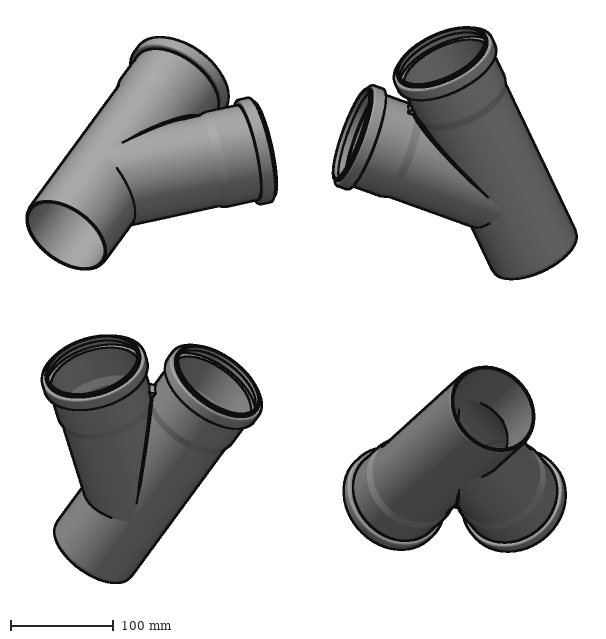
import cadquery as cq

total_length = 238.0
socket_reach = 161.8
spigot_reach = total_length - socket_reach
branch_angle = 45.0

pipe_radius = 90.2 / 2
pipe_bore_radius = 85.5 / 2
socket_radius = 94.7 / 2
socket_bore_radius = 90.5 / 2
lip_radius = 95.0 / 2
lip_bore_radius = 91.0 / 2
ring_radius = 104.5 / 2
groove_radius = 100.2 / 2

lip_step_depth = 1.7
ring_top_depth = 2.9
ring_bottom_depth = 15.7
neck_bottom_depth = 16.5
taper_top_depth = 48.3
taper_bottom_depth = 57.0
ring_fillet = 2.1
groove_wall = ring_radius - groove_radius

chamfer_length = 3.8
chamfer_radial = 0.7

web_thickness = 1.7
web_reach = 127.3
web_sink = 0.2
web_half_height = pipe_radius - web_sink
crotch_block_end = 130.2
crotch_block_start = 119.0
crotch_block_width = 7.1
crotch_block_height = 14.3


def revolve_about_y(points):
    """Turn a (radius, position along Y) outline into a solid about the Y axis."""
    return cq.Workplane("XY").polyline(points).close().revolve(360, (0, 0, 0), (0, 1, 0))


def tilt(shape, angle):
    """Swing a shape clockwise about Z, from the +Y direction towards +X."""
    return shape.rotate((0, 0, 0), (0, 0, 1), -angle)


def make_ring():
    """Rounded collar around the seal groove of a socket."""
    height = ring_bottom_depth - ring_top_depth
    ring = cq.Workplane("XZ", origin=(0, socket_reach - ring_top_depth, 0))
    return ring.circle(ring_radius).extrude(height).edges().fillet(ring_fillet)


def make_arm(start):
    """Solid pipe and socket, from its start to the socket mouth."""
    arm = revolve_about_y([
        (0, start),
        (pipe_radius, start),
        (pipe_radius, socket_reach - taper_bottom_depth),
        (socket_radius, socket_reach - taper_top_depth),
        (socket_radius, socket_reach - neck_bottom_depth),
        (lip_radius, socket_reach - neck_bottom_depth),
        (lip_radius, socket_reach - lip_step_depth),
        (socket_radius, socket_reach - lip_step_depth),
        (socket_radius, socket_reach),
        (0, socket_reach),
    ])
    return arm.union(make_ring())


def make_arm_bore(start):
    """Pipe bore, tapered socket bore and seal groove."""
    groove_top = socket_reach - ring_top_depth - groove_wall
    groove_bottom = socket_reach - ring_bottom_depth + groove_wall
    return revolve_about_y([
        (0, start),
        (pipe_bore_radius, start),
        (pipe_bore_radius, socket_reach - taper_bottom_depth),
        (socket_bore_radius, socket_reach - taper_top_depth),
        (socket_bore_radius, groove_bottom),
        (groove_radius, groove_bottom),
        (groove_radius, groove_top),
        (lip_bore_radius, groove_top),
        (lip_bore_radius, socket_reach),
        (0, socket_reach),
    ])


def make_branch_wedge():
    """Quarter space between the two mitre planes, where the branch replaces the main pipe."""
    wedge = cq.Workplane("XY").rect(total_length, total_length, centered=False)
    wedge = wedge.extrude(total_length / 2, both=True)
    return tilt(wedge, branch_angle / 2)


def make_web():
    """Thin half-ellipse web with a thicker block closing the crotch."""
    web = (
        cq.Workplane("YZ", origin=(-web_thickness / 2, 0, 0))
        .moveTo(0, -web_half_height)
        .ellipseArc(web_reach, web_half_height, -90, 90, startAtCurrent=True)
        .close()
        .extrude(web_thickness)
    )
    block_length = crotch_block_end - crotch_block_start
    block = cq.Workplane("XY").box(crotch_block_width, block_length, crotch_block_height)
    block = block.translate((0, crotch_block_start + block_length / 2, 0))
    return tilt(web.union(block), branch_angle / 2)


pipe_start = -spigot_reach
main_bore = make_arm_bore(pipe_start)
branch_bore = tilt(main_bore, branch_angle)

plain_arm = make_arm(pipe_start)
main_pipe = plain_arm.faces("<Y").chamfer(chamfer_radial, chamfer_length).cut(main_bore)
branch_pipe = tilt(plain_arm, branch_angle).cut(branch_bore)
web = make_web().cut(main_bore).cut(branch_bore)

branch_wedge = make_branch_wedge()
result = main_pipe.cut(branch_wedge).union(web).union(branch_pipe.intersect(branch_wedge))